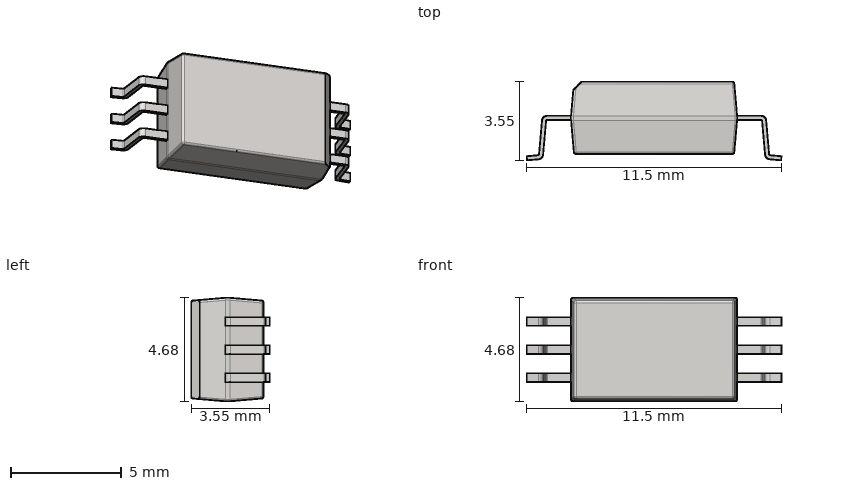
import cadquery as cq
import math


lead_span = 11.5
package_top = 3.55

housing_length = 7.5
housing_width = 4.68
housing_thickness = 3.27
draft_angle = 5.0
edge_radius = 0.1
bevel_size = 0.35

leads_per_row = 3
lead_pitch = 1.26
lead_width = 0.4
lead_thickness = 0.2
foot_length = 0.52
inner_bend_radius = 0.05
leg_tilt = 5.0
foot_tilt = 5.0

draft_height = (housing_thickness - lead_thickness) / 2
band_top = package_top - draft_height
band_bottom = band_top - lead_thickness
draft_inset = draft_height * math.tan(math.radians(draft_angle))
outer_bend_radius = inner_bend_radius + lead_thickness


def make_band():
    """Straight middle band, as thick as the leads."""
    return cq.Workplane("XY").box(housing_length, lead_thickness, housing_width).translate(
        (0, band_top - lead_thickness / 2, 0)
    )


def make_drafted_half(base_y, direction):
    """Block that tapers away from the band; direction is +1 upward or -1 downward."""
    plane = cq.Plane(origin=(0, base_y, 0), xDir=(1, 0, 0), normal=(0, direction, 0))
    return (
        cq.Workplane(plane)
        .rect(housing_length, housing_width)
        .workplane(offset=draft_height)
        .rect(housing_length - 2 * draft_inset, housing_width - 2 * draft_inset)
        .loft(ruled=True, combine=True)
    )


def make_bevel_cutter():
    """Triangular prism along Z that removes the upper -X corner."""
    corner_x = -(housing_length / 2 - draft_inset)
    outer_x = corner_x - bevel_size
    return (
        cq.Workplane("XY")
        .moveTo(corner_x + bevel_size, package_top)
        .lineTo(outer_x, package_top)
        .lineTo(outer_x, package_top - 2 * bevel_size)
        .close()
        .extrude(housing_width, both=True)
    )


def make_housing():
    body = make_band()
    body = body.union(make_drafted_half(band_top, 1))
    body = body.union(make_drafted_half(band_bottom, -1))
    body = body.edges("(not #Y) or >Y or <Y").fillet(edge_radius)
    return body.cut(make_bevel_cutter())


def polar(centre, radius, angle):
    """Point at a radius from centre, at an angle in degrees from +X."""
    turn = math.radians(angle)
    return (centre[0] + radius * math.cos(turn), centre[1] + radius * math.sin(turn))


def make_lead(side, z):
    """Bent strip of constant thickness; side is +1 for the +X row or -1 for the -X row."""
    across_leg = leg_tilt
    up_leg = 90 + leg_tilt
    across_foot = 90 - foot_tilt
    along_foot = -foot_tilt

    tip_upper = (lead_span / 2, lead_thickness * math.cos(math.radians(foot_tilt)))
    tip_lower = polar(tip_upper, -lead_thickness, across_foot)
    foot_start = polar(tip_upper, -foot_length, along_foot)

    heel = polar(foot_start, inner_bend_radius, across_foot)
    leg_foot = polar(heel, -(outer_bend_radius + inner_bend_radius), across_leg)
    shoulder_y = band_bottom - inner_bend_radius
    leg_length = (shoulder_y - leg_foot[1]) / math.cos(math.radians(leg_tilt))
    shoulder = polar(leg_foot, leg_length, up_leg)

    shoulder_middle = (90 + across_leg) / 2
    heel_middle = 180 + (across_foot + across_leg) / 2

    strip = (
        cq.Workplane("XY")
        .moveTo(housing_length / 2, band_bottom)
        .lineTo(housing_length / 2, band_top)
        .lineTo(*polar(shoulder, outer_bend_radius, 90))
        .threePointArc(
            polar(shoulder, outer_bend_radius, shoulder_middle),
            polar(shoulder, outer_bend_radius, across_leg),
        )
        .lineTo(*polar(heel, -inner_bend_radius, across_leg))
        .threePointArc(polar(heel, inner_bend_radius, heel_middle), foot_start)
        .lineTo(*tip_upper)
        .lineTo(*tip_lower)
        .lineTo(*polar(heel, -outer_bend_radius, across_foot))
        .threePointArc(
            polar(heel, outer_bend_radius, heel_middle),
            polar(heel, -outer_bend_radius, across_leg),
        )
        .lineTo(*polar(shoulder, inner_bend_radius, across_leg))
        .threePointArc(
            polar(shoulder, inner_bend_radius, shoulder_middle),
            polar(shoulder, inner_bend_radius, 90),
        )
        .close()
        .extrude(lead_width / 2, both=True)
    )
    if side < 0:
        strip = strip.mirror("YZ")
    return strip.translate((0, 0, z))


housing = make_housing()

leads = []
for side in (-1, 1):
    for index in range(leads_per_row):
        z = (index - (leads_per_row - 1) / 2) * lead_pitch
        leads.append(make_lead(side, z))

result = cq.Compound.makeCompound([housing.val(), *[lead.val() for lead in leads]])